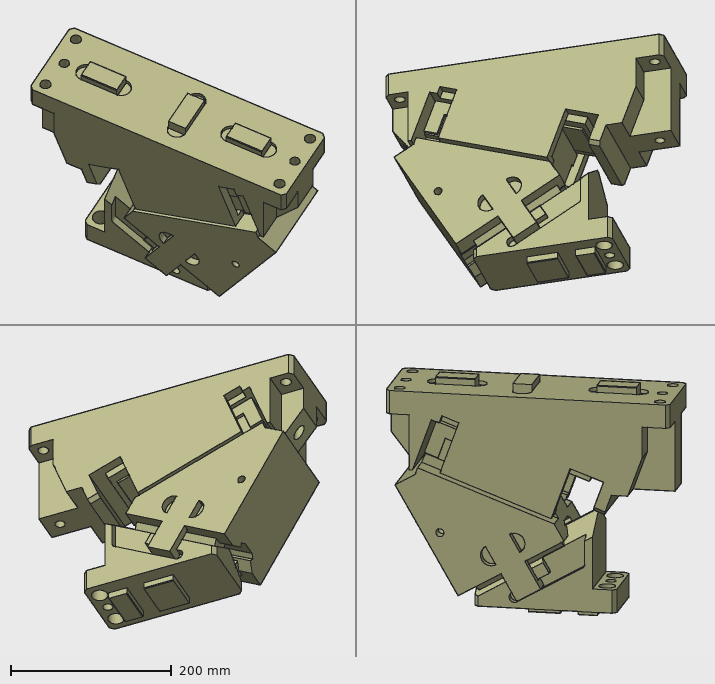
import cadquery as cq
import math


CAM_ANGLE = 20.0
GUIDE_ANGLE = -30.0
PIVOT_X = 150.0
PIVOT_Z = 121.0
FAR = 400.0

cam_cos = math.cos(math.radians(CAM_ANGLE))
cam_sin = math.sin(math.radians(CAM_ANGLE))
guide_cos = math.cos(math.radians(GUIDE_ANGLE))
guide_sin = math.sin(math.radians(GUIDE_ANGLE))

LEFT_FACE_TO_PIVOT = 32.5
GUIDE_X = PIVOT_X + LEFT_FACE_TO_PIVOT * guide_sin
GUIDE_Z = PIVOT_Z - LEFT_FACE_TO_PIVOT * guide_cos

LEVEL_PLANE = cq.Plane((0, 0, 0), (1, 0, 0), (0, -1, 0))
CAM_PLANE = cq.Plane((PIVOT_X, 0, PIVOT_Z), (cam_cos, 0, cam_sin), (0, -1, 0))
GUIDE_PLANE = cq.Plane((GUIDE_X, 0, GUIDE_Z), (guide_cos, 0, guide_sin), (0, -1, 0))
GUIDE_SECTION = cq.Plane((GUIDE_X, 0, GUIDE_Z), (0, 1, 0), (guide_cos, 0, guide_sin))


def cam_point(along, up):
    """X and Z of a point given along and square to the cam direction."""
    return (PIVOT_X + along * cam_cos - up * cam_sin, PIVOT_Z + along * cam_sin + up * cam_cos)


def cam_point_at_height(along, z):
    """X and Z of the point with the given along-cam place that lies at height z."""
    up = (z - PIVOT_Z - along * cam_sin) / cam_cos
    return cam_point(along, up)


def centred_plate(plane, points, half_width):
    """Outline extruded evenly to both sides of Y = 0."""
    return cq.Workplane(plane).polyline(points).close().extrude(half_width, both=True)


def centred_block(plane, low, high, half_width):
    """Rectangular block between two opposite corners, centred on Y = 0."""
    points = [low, (high[0], low[1]), high, (low[0], high[1])]
    return centred_plate(plane, points, half_width)


def side_pair(solid, inner):
    """The parts of a centred solid that lie further than `inner` from Y = 0."""
    return solid.cut(cq.Workplane("XY").box(4 * FAR, 2 * inner, 4 * FAR))


HALF_WIDTH = 55.0
CORNER_CHAMFER = 5.0
KEY_HEIGHT = 9.0
KEY_LENGTH = 50.0
KEY_WIDTH = 25.0
KEY_CHAMFER = 1.0
DOWEL_DIAMETER = 12.5

HOUSING_LENGTH = 360.0
HOUSING_TOP = 275.0
PLATE_UNDERSIDE = 245.0
HOUSING_FOOT = 155.0
WEB_HALF = 20.0
LEFT_RELIEF_DEPTH = 35.0
LEFT_RELIEF_BEND_Z = 204.5
RIGHT_RELIEF_X = 330.0
RIGHT_LEG_BOTTOM = 174.3
RIGHT_LEG_CORNER_Z = 213.0

SLIDE_LENGTH = 150.0
HOOK_INNER = -45.0
HOOK_OUTER = -60.0
HOOK_TIP = 30.0
LEFT_BAY_TOP = 70.0
RIGHT_BAY_END = 183.5
TUNNEL_TOP = 60.0
TUNNEL_HALF = 43.0
LIP_HALF = 33.0
LIP_HEIGHT = 7.7
ROOF_BLOCK_START = -27.0
NOTCH_LENGTH = 23.0
WEAR_STRIP_BOTTOM = 57.0
WEAR_STRIP_HALF = 30.0
WEAR_STRIP_START = -20.0

KEY_RECESS_LENGTH = 75.0
KEY_RECESS_DEPTH = 5.0
LENGTHWISE_KEY_PLACES = [75.5, 280.0]
CROSS_KEY_X = 192.5
CROSS_KEY_WIDTH = 24.0
BOLT_DIAMETER = 13.5
BOLT_INSET = 15.0
BOLT_HALF_PITCH = 40.0
LEFT_DOWEL_X = 20.0

SLIDER_LENGTH = 155.0
SLIDER_HEIGHT = 160.0
SLIDER_END = 178.5
SLIDE_GAP = 5.0
RAIL_START = 8.6
NECK_HALF = 28.0
HEAD_HALF = 37.0
HEAD_BOTTOM = 10.6
HEAD_TOP = 56.3
CHEEK_HALF = 41.0
CHEEK_BOTTOM = 12.6
CHEEK_STEP_ALONG = 160.5
CHEEK_STEP_UP = 40.0

STRAP_START = 57.2
STRAP_WIDTH = 35.0
STRAP_BOTTOM = -40.0
STRAP_INNER = 45.5
TOE_TOP = -30.0
TOE_INNER = 34.5
STRAP_SEAT_RADIUS = 13.0
STRAP_SEAT_UP = 26.0
STRAP_SEAT_DEPTH = 10.0
SIDE_HOLE_PLACE = (135.0, 80.8)
SIDE_HOLE_DIAMETER = 10.0
SIDE_HOLE_DEPTH = 15.0
DRILL_POINT_ANGLE = 118.0

GROOVE_CLEARANCE = 5.0
APEX_RELIEF_HALF = 14.7
APEX_RELIEF_DEPTH = 5.0
APEX_RELIEF_TOP = 17.0
LINER_INNER = 18.0
LINER_START = 9.0
LINER_END = 134.0
LINER_EDGE = 34.5

BASE_LEFT = 70.0
BASE_WALL = 100.0
BASE_RIGHT = 250.0
BASE_HALF = 43.0
LEDGE_HEIGHT = 30.0
EAVE_UP = -13.4
ROOF_ANGLE = 30.0
RIDGE_HALF = 3.0

POCKET_LEFT = 110.0
POCKET_INNER = 33.5
POCKET_CORNER_RADIUS = 5.0
POCKET_FLOOR = -42.2
POCKET_END = 41.2
CHANNEL_RADIUS = 6.6
CHANNEL_END = 96.0

LEDGE_HOLE_X = 85.0
LEDGE_BOLT_DIAMETER = 20.5
LEDGE_BOLT_HALF_PITCH = 25.0
BASE_KEYS = [(109.5, KEY_WIDTH, KEY_LENGTH, "Y"), (165.0, 40.0, KEY_LENGTH, "X")]


roof_slope = math.tan(math.radians(ROOF_ANGLE))
roof_cos = math.cos(math.radians(ROOF_ANGLE))
roof_sin = math.sin(math.radians(ROOF_ANGLE))


def roof_height(y, clearance=0.0):
    """Height of the gable at Y = y, or of a surface lifted square to it by `clearance`."""
    return EAVE_UP + (BASE_HALF - abs(y)) * roof_slope + clearance / roof_cos


def gable_prism(start, end, half_width, clearance, bottom):
    """Gable-topped prism along the guide direction."""
    points = [
        (-half_width, bottom),
        (-half_width, roof_height(half_width, clearance)),
        (-RIDGE_HALF, roof_height(RIDGE_HALF, clearance)),
        (RIDGE_HALF, roof_height(RIDGE_HALF, clearance)),
        (half_width, roof_height(half_width, clearance)),
        (half_width, bottom),
    ]
    prism = cq.Workplane(GUIDE_SECTION).workplane(offset=start).polyline(points).close()
    return prism.extrude(end - start)


def housing_block():
    outline = [
        (0, HOUSING_FOOT),
        (0, HOUSING_TOP),
        (HOUSING_LENGTH, HOUSING_TOP),
        (HOUSING_LENGTH, RIGHT_LEG_CORNER_Z),
        (RIGHT_RELIEF_X, RIGHT_LEG_BOTTOM),
        cam_point_at_height(RIGHT_BAY_END, RIGHT_LEG_BOTTOM),
        cam_point(RIGHT_BAY_END, TUNNEL_TOP),
        cam_point(SLIDE_LENGTH, TUNNEL_TOP),
        cam_point(SLIDE_LENGTH, 0),
        cam_point(0, 0),
        cam_point(0, LEFT_BAY_TOP),
        cam_point(HOOK_INNER, LEFT_BAY_TOP),
        cam_point(HOOK_INNER, HOOK_TIP),
        cam_point(HOOK_OUTER, HOOK_TIP),
        cam_point_at_height(HOOK_OUTER, HOUSING_FOOT),
    ]
    block = centred_plate(LEVEL_PLANE, outline, HALF_WIDTH)
    block = block.edges("|Z").chamfer(CORNER_CHAMFER)
    tip_centre = cam_point((HOOK_INNER + HOOK_OUTER) / 2, HOOK_TIP)
    for side in (-1, 1):
        corner = (tip_centre[0], side * HALF_WIDTH, tip_centre[1])
        block = block.edges(cq.NearestToPointSelector(corner)).chamfer(CORNER_CHAMFER)
    return block


def housing_reliefs():
    """Side pockets under the plate that leave a narrow web at each end."""
    run = (LEFT_RELIEF_BEND_Z - HOUSING_FOOT) * math.tan(math.radians(CAM_ANGLE))
    left = [
        (0, HOUSING_FOOT),
        (0, PLATE_UNDERSIDE),
        (LEFT_RELIEF_DEPTH, PLATE_UNDERSIDE),
        (LEFT_RELIEF_DEPTH, LEFT_RELIEF_BEND_Z),
        (LEFT_RELIEF_DEPTH + run, HOUSING_FOOT),
    ]
    pockets = centred_plate(LEVEL_PLANE, left, HALF_WIDTH)
    right_low = (RIGHT_RELIEF_X, HOUSING_FOOT)
    right_high = (HOUSING_LENGTH, PLATE_UNDERSIDE)
    pockets = pockets.union(centred_block(LEVEL_PLANE, right_low, right_high, HALF_WIDTH))
    return side_pair(pockets, WEB_HALF)


def add_top_key(body, key, x, turn, width):
    """Stands a location key in its round-ended recess, turned by `turn` degrees about Z."""
    recess = cq.Workplane("XY", origin=(x, 0, HOUSING_TOP)).slot2D(KEY_RECESS_LENGTH, width, turn)
    key = key.rotate((0, 0, 0), (0, 0, 1), turn)
    key = key.translate((x, 0, HOUSING_TOP - KEY_RECESS_DEPTH))
    return body.cut(recess.extrude(-KEY_RECESS_DEPTH)).union(key)


def plain_top_key(width):
    height = KEY_HEIGHT + KEY_RECESS_DEPTH
    return cq.Workplane("XY").box(KEY_LENGTH, width, height, centered=(True, True, False))


def make_housing():
    body = housing_block().cut(housing_reliefs())

    roof_block = centred_block(CAM_PLANE, (ROOF_BLOCK_START, TUNNEL_TOP), (0, LEFT_BAY_TOP), TUNNEL_HALF)
    body = body.union(roof_block)
    body = body.cut(centred_block(CAM_PLANE, (0, 0), (SLIDE_LENGTH, LIP_HEIGHT), LIP_HALF))
    body = body.cut(centred_block(CAM_PLANE, (0, LIP_HEIGHT), (SLIDE_LENGTH, TUNNEL_TOP), TUNNEL_HALF))
    notch_end = SLIDE_LENGTH + NOTCH_LENGTH
    strip = centred_block(
        CAM_PLANE, (WEAR_STRIP_START, WEAR_STRIP_BOTTOM), (notch_end, TUNNEL_TOP), WEAR_STRIP_HALF
    )
    body = body.union(strip)
    notch = centred_block(CAM_PLANE, (SLIDE_LENGTH, TUNNEL_TOP), (notch_end, LEFT_BAY_TOP), HALF_WIDTH)
    body = body.cut(side_pair(notch, TUNNEL_HALF))

    chamfered_key = plain_top_key(KEY_WIDTH).edges(">Z and |X").chamfer(KEY_CHAMFER)
    for x in LENGTHWISE_KEY_PLACES:
        body = add_top_key(body, chamfered_key, x, 0, KEY_WIDTH)
    body = add_top_key(body, plain_top_key(CROSS_KEY_WIDTH), CROSS_KEY_X, 90, CROSS_KEY_WIDTH)

    right_x = HOUSING_LENGTH - BOLT_INSET
    bolts = [(x, side * BOLT_HALF_PITCH) for x in (BOLT_INSET, right_x) for side in (-1, 1)]
    dowels = [(LEFT_DOWEL_X, 0), (right_x, 0)]
    top = cq.Workplane("XY", origin=(0, 0, HOUSING_TOP))
    body = body.cut(top.pushPoints(bolts).circle(BOLT_DIAMETER / 2).extrude(-HOUSING_TOP))
    return body.cut(top.pushPoints(dowels).circle(DOWEL_DIAMETER / 2).extrude(-HOUSING_TOP))


face_slope = math.tan(math.radians(CAM_ANGLE - GUIDE_ANGLE))


def slider_block():
    """Wide block with its bottom along the guide and its shoulders along the cam direction."""
    block = centred_block(GUIDE_PLANE, (0, 0), (SLIDER_LENGTH, FAR), HALF_WIDTH)
    below_slide = centred_block(CAM_PLANE, (-FAR, -FAR), (FAR, -SLIDE_GAP), HALF_WIDTH)
    block = block.intersect(below_slide)
    above_top = centred_block(GUIDE_PLANE, (0, SLIDER_HEIGHT), (SLIDER_LENGTH, FAR), HALF_WIDTH)
    past_end = centred_block(CAM_PLANE, (SLIDER_END, -FAR), (FAR, FAR), HALF_WIDTH)
    return block.cut(above_top.intersect(past_end))


def slider_rail():
    """Neck, head and side cheeks that run in the housing tunnel."""
    neck = [
        (-SLIDE_GAP * face_slope, -SLIDE_GAP),
        (SLIDER_END, -SLIDE_GAP),
        (SLIDER_END, HEAD_BOTTOM),
        (RAIL_START, HEAD_BOTTOM),
        (RAIL_START, RAIL_START / face_slope),
    ]
    rail = centred_plate(CAM_PLANE, neck, NECK_HALF)
    rail = rail.union(centred_block(CAM_PLANE, (RAIL_START, HEAD_BOTTOM), (SLIDER_END, HEAD_TOP), HEAD_HALF))
    cheek = [
        (RAIL_START, HEAD_TOP),
        (RAIL_START, CHEEK_STEP_UP),
        (CHEEK_STEP_ALONG, CHEEK_STEP_UP),
        (CHEEK_STEP_ALONG, CHEEK_BOTTOM),
        (SLIDER_END, CHEEK_BOTTOM),
        (SLIDER_END, HEAD_TOP),
    ]
    return rail.union(centred_plate(CAM_PLANE, cheek, CHEEK_HALF))


def slider_groove():
    """V groove lifted off the base roof, with a flat-topped relief along its apex."""
    groove = gable_prism(-FAR, FAR, BASE_HALF, GROOVE_CLEARANCE, 2 * EAVE_UP)
    mouth_up = roof_height(APEX_RELIEF_HALF, GROOVE_CLEARANCE)
    shoulder_half = APEX_RELIEF_HALF + APEX_RELIEF_DEPTH * roof_sin
    shoulder_up = mouth_up + APEX_RELIEF_DEPTH * roof_cos
    top_half = shoulder_half - (APEX_RELIEF_TOP - shoulder_up) / roof_slope
    right_side = [
        (APEX_RELIEF_HALF, mouth_up),
        (shoulder_half, shoulder_up),
        (top_half, APEX_RELIEF_TOP),
    ]
    left_side = [(-y, up) for y, up in reversed(right_side)]
    relief = cq.Workplane(GUIDE_SECTION).polyline(right_side + left_side).close().extrude(FAR, both=True)
    return groove.union(relief)


def slider_liners():
    """Wear liners that fill the groove down to the roof, with edges square to the roof."""
    edge_low = roof_height(LINER_EDGE)
    lift = 2 * GROOVE_CLEARANCE
    edge_shift = lift * roof_sin
    liners = cq.Workplane("XY")
    for side in (-1, 1):
        points = [
            (side * LINER_EDGE, edge_low),
            (side * (LINER_EDGE + edge_shift), edge_low + lift * roof_cos),
            (side * LINER_INNER, roof_height(LINER_INNER, lift)),
            (side * LINER_INNER, roof_height(LINER_INNER)),
        ]
        section = cq.Workplane(GUIDE_SECTION).workplane(offset=LINER_START).polyline(points).close()
        liners = liners.union(section.extrude(LINER_END - LINER_START))
    return liners


def slider_straps():
    """Straps down both sides whose toes reach under the base lugs."""
    strap_end = STRAP_START + STRAP_WIDTH
    bars = centred_block(GUIDE_PLANE, (STRAP_START, STRAP_BOTTOM), (strap_end, STRAP_SEAT_UP), HALF_WIDTH)
    bars = side_pair(bars, STRAP_INNER)
    toes = centred_block(GUIDE_PLANE, (STRAP_START, STRAP_BOTTOM), (strap_end, TOE_TOP), HALF_WIDTH)
    return bars.union(side_pair(toes, TOE_INNER))


def strap_seats():
    """Half-round recesses beside each strap."""
    ends = [(STRAP_START, STRAP_SEAT_UP), (STRAP_START + STRAP_WIDTH, STRAP_SEAT_UP)]
    discs = cq.Workplane(GUIDE_PLANE).pushPoints(ends).circle(STRAP_SEAT_RADIUS)
    discs = discs.extrude(HALF_WIDTH, both=True)
    between = centred_block(GUIDE_PLANE, (STRAP_START, -FAR), (STRAP_START + STRAP_WIDTH, FAR), HALF_WIDTH)
    return side_pair(discs.cut(between), HALF_WIDTH - STRAP_SEAT_DEPTH)


def side_holes():
    """Blind drilled holes with conical ends, one in each side face."""
    radius = SIDE_HOLE_DIAMETER / 2
    point_length = radius / math.tan(math.radians(DRILL_POINT_ANGLE / 2))
    place = GUIDE_PLANE.toWorldCoords(SIDE_HOLE_PLACE)
    holes = cq.Workplane("XY")
    for side in (-1, 1):
        inward = cq.Vector(0, -side, 0)
        mouth = cq.Vector(place.x, side * HALF_WIDTH, place.z)
        end = mouth + inward * SIDE_HOLE_DEPTH
        holes = holes.union(cq.Workplane(cq.Solid.makeCylinder(radius, SIDE_HOLE_DEPTH, mouth, inward)))
        holes = holes.union(cq.Workplane(cq.Solid.makeCone(radius, 0, point_length, end, inward)))
    return holes


def make_slider():
    body = slider_block().cut(slider_groove()).union(slider_liners())
    body = body.union(slider_rail())
    body = body.union(slider_straps()).cut(strap_seats())
    return body.cut(side_holes())


def base_pockets():
    """Side pockets with a round-ended channel that runs under the lugs."""
    open_part = centred_block(GUIDE_PLANE, (-FAR, POCKET_FLOOR), (POCKET_END, FAR), HALF_WIDTH)
    right_of_wall = centred_block(LEVEL_PLANE, (POCKET_LEFT, 0), (FAR, FAR), HALF_WIDTH)
    open_part = open_part.intersect(right_of_wall)
    open_part = open_part.edges("|Y").edges("<X").edges("<Z").fillet(POCKET_CORNER_RADIUS)
    channel_top = POCKET_FLOOR + 2 * CHANNEL_RADIUS
    channel = centred_block(GUIDE_PLANE, (POCKET_END, POCKET_FLOOR), (CHANNEL_END, channel_top), HALF_WIDTH)
    end = cq.Workplane(GUIDE_PLANE).center(CHANNEL_END, POCKET_FLOOR + CHANNEL_RADIUS)
    end = end.circle(CHANNEL_RADIUS).extrude(HALF_WIDTH, both=True)
    channel = channel.union(end)
    return side_pair(open_part.union(channel), POCKET_INNER)


def make_base():
    foot = centred_block(LEVEL_PLANE, (BASE_LEFT, 0), (BASE_RIGHT, LEDGE_HEIGHT), BASE_HALF)
    foot = foot.edges("|Z").chamfer(CORNER_CHAMFER)
    tower = centred_block(LEVEL_PLANE, (BASE_WALL, 0), (BASE_RIGHT, FAR), BASE_HALF)
    tower = tower.edges("|Z and >X").chamfer(CORNER_CHAMFER)
    roof = gable_prism(-FAR, FAR, BASE_HALF, 0.0, -FAR)
    body = foot.union(tower).intersect(roof).cut(base_pockets())

    ledge = cq.Workplane("XY").center(LEDGE_HOLE_X, 0)
    bolts = [(0, -LEDGE_BOLT_HALF_PITCH), (0, LEDGE_BOLT_HALF_PITCH)]
    body = body.cut(ledge.pushPoints(bolts).circle(LEDGE_BOLT_DIAMETER / 2).extrude(LEDGE_HEIGHT))
    body = body.cut(ledge.circle(DOWEL_DIAMETER / 2).extrude(LEDGE_HEIGHT))

    for x, length_x, length_y, long_axis in BASE_KEYS:
        key = cq.Workplane("XY").box(length_x, length_y, KEY_HEIGHT, centered=(True, True, False))
        key = key.edges("<Z and |" + long_axis).chamfer(KEY_CHAMFER)
        body = body.union(key.translate((x, 0, -KEY_HEIGHT)))
    return body


housing = make_housing()
slider = make_slider()
base = make_base()

result = cq.Compound.makeCompound([housing.solids().val(), slider.solids().val(), base.solids().val()])